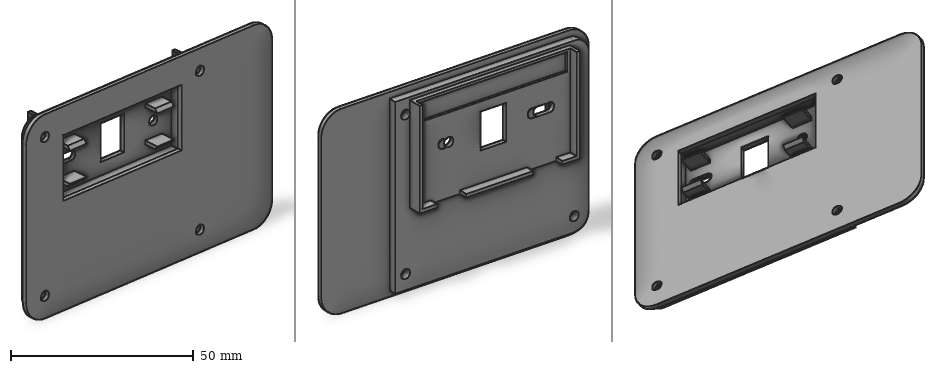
import cadquery as cq

plate_length = 92.0
plate_height = 63.0
plate_thickness = 1.5
plate_corner_radius = 7.0

pad_inset = 2.0
pad_length = 66.5
pad_thickness = 2.6
pad_corner_radius = plate_corner_radius - pad_inset
pad_height = plate_height - 2 * pad_inset
pad_right = -plate_length / 2 + pad_inset
pad_left = pad_right + pad_length

screw_hole_diameter = 3.0
screw_left_inset = 3.6
screw_left = pad_left - screw_left_inset
screw_right = pad_right + pad_corner_radius
screw_offset_z = pad_height / 2 - pad_corner_radius

tray_width = 55.0
tray_height = 33.1
tray_center_y = -10.0
tray_top = 28.5
tray_floor_thickness = 1.6
tray_wall_height = 2.85
tray_wall_thickness = 1.1
tray_bottom = tray_top - tray_height
corner_lip_length = 6.0
middle_lip_length = 23.0

pocket_width = 50.9
pocket_height = 6.1
pocket_depth = 0.9
pocket_top_margin = 0.8

window_width = 8.7
window_height = 12.0
mount_center_z = tray_top - 16.0
mount_hole_diameter = 3.0
mount_hole_offset = 15.3
mount_slot_length = 7.0
mount_slot_offset = 17.4
recess_shift = 2.0
recess_depth = 0.2

prong_width = 6.2
prong_gap = 10.2
prong_thickness = 1.2
prong_overhang = 0.9

opening_width = 44.2
opening_height = 20.2

plate_back = 0.0
plate_front = plate_back - plate_thickness
pad_front = plate_front - pad_thickness
floor_front = pad_front - tray_floor_thickness
tray_front = floor_front - tray_wall_height


def block(x_range, y_range, z_range):
    """Box spanning the given (low, high) ranges."""
    size = [high - low for low, high in (x_range, y_range, z_range)]
    corner = (x_range[0], y_range[0], z_range[0])
    return cq.Workplane("XY").box(*size, centered=False).translate(corner)


def centered_block(x_range, center_y, width, center_z, height):
    """Box centred on a point of the YZ plane."""
    y_range = (center_y - width / 2, center_y + width / 2)
    z_range = (center_z - height / 2, center_z + height / 2)
    return block(x_range, y_range, z_range)


def screw_holes(x_range):
    """Four cylinders at the screw positions."""
    points = [(y, z) for y in (screw_left, screw_right) for z in (-screw_offset_z, screw_offset_z)]
    sketch = cq.Workplane("YZ", origin=(x_range[0], 0, 0)).pushPoints(points)
    return sketch.circle(screw_hole_diameter / 2).extrude(x_range[1] - x_range[0])


def clearance_opening(x_range):
    """Opening behind the tray floor that the prongs pass through."""
    return centered_block(x_range, tray_center_y, opening_width, mount_center_z, opening_height)


def make_plate():
    x_range = (plate_front, plate_back)
    plate = centered_block(x_range, 0, plate_length, 0, plate_height)
    plate = plate.edges("|X").fillet(plate_corner_radius)
    return plate.cut(screw_holes(x_range)).cut(clearance_opening(x_range))


def make_pad():
    x_range = (pad_front, plate_front)
    pad = block(x_range, (pad_right, pad_left), (-pad_height / 2, pad_height / 2))
    pad = pad.edges("|X and <Y").fillet(pad_corner_radius)
    return pad.cut(screw_holes(x_range)).cut(clearance_opening(x_range))


def tray_shell():
    """Tray floor with its side walls and the three lengths of bottom lip."""
    wall_x = (tray_front, floor_front)
    low_y = tray_center_y - tray_width / 2
    high_y = tray_center_y + tray_width / 2
    full_z = (tray_bottom, tray_top)
    lip_z = (tray_bottom, tray_bottom + tray_wall_thickness)
    middle_lip_y = (tray_center_y - middle_lip_length / 2, tray_center_y + middle_lip_length / 2)

    shell = block((floor_front, pad_front), (low_y, high_y), full_z)
    for wall_y in ((low_y, low_y + tray_wall_thickness), (high_y - tray_wall_thickness, high_y)):
        shell = shell.union(block(wall_x, wall_y, full_z))
    for lip_y in ((low_y, low_y + corner_lip_length), middle_lip_y, (high_y - corner_lip_length, high_y)):
        shell = shell.union(block(wall_x, lip_y, lip_z))
    return shell


def floor_pocket():
    pocket_center_z = tray_top - pocket_top_margin - pocket_height / 2
    x_range = (floor_front, floor_front + pocket_depth)
    return centered_block(x_range, tray_center_y, pocket_width, pocket_center_z, pocket_height)


def mount_openings(depth, shift_y):
    """Round hole and slot, cut to a depth from the floor's front face and shifted along Y."""
    plane = cq.Workplane("YZ", origin=(floor_front, tray_center_y + shift_y, mount_center_z))
    hole = plane.center(mount_hole_offset, 0).circle(mount_hole_diameter / 2).extrude(depth)
    slot = plane.center(-mount_slot_offset, 0).slot2D(mount_slot_length, mount_hole_diameter).extrude(depth)
    return hole.union(slot)


def prong(center_y, side):
    """Prong with a flat inner face and a sloped tip; side is +1 above the opening, -1 below."""
    inner_z = mount_center_z + side * prong_gap / 2
    outer_z = inner_z + side * prong_thickness
    profile = [
        (pad_front, inner_z),
        (plate_back + prong_overhang, inner_z),
        (plate_back, outer_z),
        (pad_front, outer_z),
    ]
    plane = cq.Workplane("XZ", origin=(0, center_y, 0))
    return plane.polyline(profile).close().extrude(prong_width / 2, both=True)


def make_tray():
    x_range = (floor_front, pad_front)
    tray = tray_shell().cut(floor_pocket())
    tray = tray.cut(centered_block(x_range, tray_center_y, window_width, mount_center_z, window_height))
    tray = tray.cut(mount_openings(tray_floor_thickness, 0))
    tray = tray.cut(mount_openings(recess_depth, recess_shift))
    for offset_y in (mount_hole_offset, -mount_slot_offset):
        for side in (1, -1):
            tray = tray.union(prong(tray_center_y + offset_y, side))
    return tray


plate = make_plate()
pad = make_pad()
tray = make_tray()

result = cq.Compound.makeCompound([body.solids().val() for body in (plate, pad, tray)])